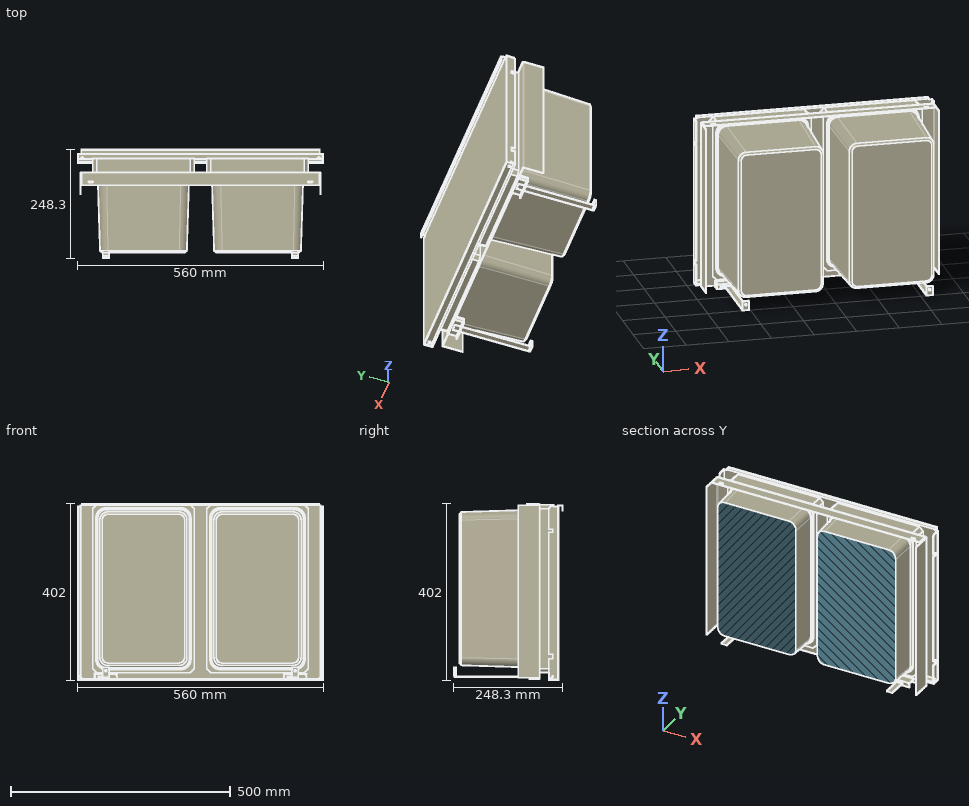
import math

import cadquery as cq

OVERALL_WIDTH = 560.0
OVERALL_DEPTH = 248.3
OVERALL_HEIGHT = 402.0
SHEET = 1.5
LID_SHEET = 2.0
BIN_PITCH = 260.0
BIN_CENTRE_Z = 209.0

FRAME_WIDTH = 548.0
FRAME_BACK_Y = 196.0
FRAME_BOTTOM_Z = 4.0
SIDE_FLANGE_DEPTH = 50.0
SIDE_BEND = 2.4
TOP_BEND = 3.0
SIDE_FLANGE_INSET = 2.5
TOP_FLANGE_DEPTH = 30.0
TOP_FLANGE_WIDTH = FRAME_WIDTH - 2 * TOP_BEND
OPENING_WIDTH = 217.0
OPENING_HEIGHT = 369.0
OPENING_CORNER = 24.0
FRAME_SLOT_X = 250.0
FRAME_SLOT_Y = 174.0
FRAME_SLOT_LENGTH = 10.0
FRAME_SLOT_WIDTH = 2.5

RIM_WIDTH = 232.0
RIM_HEIGHT = 383.0
RIM_CORNER = 9.5
RIM_BACK_Y = 227.5
BODY_WIDTH = 209.5
BODY_HEIGHT = 361.0
BODY_CORNER = 20.0
BODY_FLOOR_Y = 12.5
BODY_SIDE_INSET = 5.5
FLOOR_CORNER = 18.0
FLOOR_BEVEL_DEPTH = 4.2
FLOOR_BEVEL_INSET = 5.5
FLOOR_BEVEL_CORNER = 13.0
COLLAR_GAP = 2.0
COLLAR_FRONT_Y = 188.0

LID_BACK_Y = 238.3
LID_FRONT_Y = 216.5
LID_TOP_Z = 399.5
HOOK_WIDTH = 544.0
HOOK_DROP = 13.5
HOOK_BEND = 1.0
LID_SIDE_HEIGHT = 396.5
LID_SIDE_CORNER = 4.0
LIP_BACK_Y = 225.0
LIP_TOP_Z = 10.0
LIP_RUN = LIP_BACK_Y - LID_FRONT_Y
LIP_LENGTH = math.hypot(LIP_RUN, LIP_TOP_Z)
LIP_FOOT = LID_SHEET * LIP_LENGTH / LIP_TOP_Z
NOTCH_DEPTH = 9.0
NOTCHES = ((341.0, 6.5), (54.5, 11.0))
DRAIN_X = 269.5
DRAIN_Y = 227.5
DRAIN_DIAMETER = 5.0

BRACKET_PITCH = 431.5
BRACKET_WIDTH = 52.0
BRACKET_FRONT_Y = 171.5
BRACKET_BOTTOM_Z = 3.0
BRACKET_TOP_Z = 15.0
BRACKET_CORNER = 9.0
BRACKET_SLOT_REACH = 17.5
BRACKET_TAB_RISE = 1.0

ARM_WIDTH = 15.0
ARM_BOTTOM_Z = 7.5
ARM_THICKNESS = 2.0
ARM_BACK_Y = 188.0
BLOCK_DEPTH = 5.0
BLOCK_TOP_Z = 30.0
BLOCK_BEND = 3.0
BLOCK_HOLE_DIAMETER = 4.0
BLOCK_HOLE_Z = 22.0

FRAME_FRONT_Y = FRAME_BACK_Y - SHEET


def box(x0, x1, y0, y1, z0, z1):
    """Box between two opposite corners."""
    return cq.Workplane("XY").box(x1 - x0, y1 - y0, z1 - z0, centered=False).translate((x0, y0, z0))


def mirrored(shape):
    """A shape together with its mirror image across X = 0."""
    return shape.union(shape.mirror("YZ"))


def facing_front(x, y, z):
    """Workplane at a point, with its normal toward -Y, local x along +X and local y along +Z."""
    return cq.Workplane("XZ", origin=(x, y, z))


def rounded_rectangle(width, height, corner, inset=0.0):
    """Sketch of a rounded rectangle, its outline and corners moved inward by the inset."""
    outline = cq.Sketch().rect(width - 2 * inset, height - 2 * inset)
    return outline.vertices().fillet(corner - inset).reset()


def lifted(sketch, distance):
    """Sketch moved along its own normal."""
    return sketch.moved(cq.Location(cq.Vector(0, 0, distance)))


def frame_sheet():
    """Plate with its side and top flanges, bends rounded, before any openings."""
    half = FRAME_WIDTH / 2
    front = FRAME_BACK_Y - SIDE_FLANGE_DEPTH
    low = FRAME_BOTTOM_Z + SHEET
    high = OVERALL_HEIGHT - SIDE_FLANGE_INSET
    channel = box(-half, half, front, FRAME_BACK_Y, low, high)
    channel = channel.edges("|Z and >Y").fillet(SIDE_BEND)
    inside = box(-half + SHEET, half - SHEET, front, FRAME_FRONT_Y, low, high)
    inside = inside.edges("|Z and >Y").fillet(SIDE_BEND - SHEET)
    channel = channel.cut(inside)

    half_top = TOP_FLANGE_WIDTH / 2
    top_front = FRAME_BACK_Y - TOP_FLANGE_DEPTH
    angle = box(-half_top, half_top, top_front, FRAME_BACK_Y, FRAME_BOTTOM_Z, OVERALL_HEIGHT)
    angle = angle.edges("|X and >Y and >Z").fillet(TOP_BEND)
    under = box(-half_top, half_top, top_front, FRAME_FRONT_Y, FRAME_BOTTOM_Z, OVERALL_HEIGHT - SHEET)
    under = under.edges("|X and >Y and >Z").fillet(TOP_BEND - SHEET)
    return channel.union(angle.cut(under))


def make_frame():
    frame = frame_sheet()
    for x in (-BIN_PITCH / 2, BIN_PITCH / 2):
        opening = (
            facing_front(x, FRAME_BACK_Y, BIN_CENTRE_Z)
            .placeSketch(rounded_rectangle(OPENING_WIDTH, OPENING_HEIGHT, OPENING_CORNER))
            .extrude(SHEET)
        )
        frame = frame.cut(opening)
    slots = (
        cq.Workplane("XY", origin=(0, FRAME_SLOT_Y, OVERALL_HEIGHT - SHEET))
        .pushPoints([(-FRAME_SLOT_X, 0), (FRAME_SLOT_X, 0)])
        .slot2D(FRAME_SLOT_LENGTH, FRAME_SLOT_WIDTH)
        .extrude(SHEET)
    )
    return frame.cut(slots)


def make_bin(x):
    rim = (
        facing_front(x, RIM_BACK_Y, BIN_CENTRE_Z)
        .rect(RIM_WIDTH, RIM_HEIGHT)
        .extrude(RIM_BACK_Y - FRAME_BACK_Y)
        .edges("|Y")
        .chamfer(RIM_CORNER)
    )
    collar = rounded_rectangle(OPENING_WIDTH, OPENING_HEIGHT, OPENING_CORNER, COLLAR_GAP)
    collar_base = facing_front(x, FRAME_BACK_Y, BIN_CENTRE_Z)
    rim = rim.union(collar_base.placeSketch(collar).extrude(FRAME_BACK_Y - COLLAR_FRONT_Y))
    floor_inset = BODY_SIDE_INSET + FLOOR_BEVEL_INSET
    mouth = rounded_rectangle(BODY_WIDTH, BODY_HEIGHT, BODY_CORNER)
    bevel_edge = rounded_rectangle(BODY_WIDTH, BODY_HEIGHT, FLOOR_CORNER + BODY_SIDE_INSET, BODY_SIDE_INSET)
    floor = rounded_rectangle(BODY_WIDTH, BODY_HEIGHT, FLOOR_BEVEL_CORNER + floor_inset, floor_inset)
    body_length = FRAME_BACK_Y - BODY_FLOOR_Y
    wall_length = body_length - FLOOR_BEVEL_DEPTH
    body = (
        facing_front(x, FRAME_BACK_Y, BIN_CENTRE_Z)
        .placeSketch(mouth, lifted(bevel_edge, wall_length), lifted(floor, body_length))
        .loft(ruled=True)
    )
    return rim.union(body)


def lid_side():
    """Left side flange of the lid, notched twice along its front edge."""
    left = -OVERALL_WIDTH / 2
    right = left + LID_SHEET
    side = box(left, right, LID_FRONT_Y, LID_BACK_Y, 0, LID_SIDE_HEIGHT)
    side = side.edges("|X and <Y and >Z").chamfer(LID_SIDE_CORNER)
    for z, height in NOTCHES:
        notch = box(left, right, LID_FRONT_Y, LID_FRONT_Y + NOTCH_DEPTH, z - height / 2, z + height / 2)
        side = side.cut(notch)
    return side


def lid_lip():
    """Sloped strip rising backward from the front edge of the bottom flange."""
    step_y = LID_SHEET * LIP_TOP_Z / LIP_LENGTH
    step_z = LID_SHEET * LIP_RUN / LIP_LENGTH
    return (
        cq.Workplane("YZ", origin=(-OVERALL_WIDTH / 2, 0, 0))
        .polyline([
            (LID_FRONT_Y, 0),
            (LIP_BACK_Y, LIP_TOP_Z),
            (LIP_BACK_Y + step_y, LIP_TOP_Z - step_z),
            (LID_FRONT_Y + LIP_FOOT, 0),
        ])
        .close()
        .extrude(OVERALL_WIDTH)
    )


def make_lid():
    half = OVERALL_WIDTH / 2
    half_hook = HOOK_WIDTH / 2
    plate = box(-half, half, LID_BACK_Y - LID_SHEET, LID_BACK_Y, 0, LID_SIDE_HEIGHT)
    floor = box(-half, half, LID_FRONT_Y + LIP_FOOT, LID_BACK_Y, 0, LID_SHEET)
    hook = box(
        -half_hook, half_hook, LID_BACK_Y - LID_SHEET, OVERALL_DEPTH, LID_TOP_Z - HOOK_DROP, LID_TOP_Z
    ).edges("|X and >Z").fillet(HOOK_BEND)
    hollow = box(
        -half_hook,
        half_hook,
        LID_BACK_Y,
        OVERALL_DEPTH - LID_SHEET,
        LID_TOP_Z - HOOK_DROP,
        LID_TOP_Z - LID_SHEET,
    )
    drains = (
        cq.Workplane("XY", origin=(0, DRAIN_Y, 0))
        .pushPoints([(-DRAIN_X, 0), (DRAIN_X, 0)])
        .circle(DRAIN_DIAMETER / 2)
        .extrude(LID_SHEET)
    )
    lid = plate.union(floor.cut(drains)).union(hook.cut(hollow))
    return lid.union(lid_lip()).union(mirrored(lid_side()))


def make_bracket(x):
    left = x - BRACKET_WIDTH / 2
    right = x + BRACKET_WIDTH / 2
    front = BRACKET_FRONT_Y
    apron = box(left, right, front, front + SHEET, BRACKET_BOTTOM_Z, BRACKET_TOP_Z)
    apron = apron.edges("|Y and >X and >Z").fillet(BRACKET_CORNER)
    shelf = box(left, right, front, FRAME_FRONT_Y, BRACKET_TOP_Z - SHEET, BRACKET_TOP_Z)
    end = box(left, left + SHEET, front, FRAME_FRONT_Y, BRACKET_BOTTOM_Z, BRACKET_TOP_Z + BRACKET_TAB_RISE)
    half_arm = ARM_WIDTH / 2
    arm_slot = box(
        x - BRACKET_SLOT_REACH,
        x + half_arm,
        front,
        front + SHEET,
        ARM_BOTTOM_Z,
        ARM_BOTTOM_Z + ARM_THICKNESS,
    )
    return apron.cut(arm_slot).union(shelf).union(end)


def make_arm(x):
    left = x - ARM_WIDTH / 2
    right = x + ARM_WIDTH / 2
    strip = box(left, right, 0, ARM_BACK_Y, ARM_BOTTOM_Z, ARM_BOTTOM_Z + ARM_THICKNESS)
    block = box(left, right, 0, BLOCK_DEPTH, ARM_BOTTOM_Z, BLOCK_TOP_Z)
    hole = facing_front(x, BLOCK_DEPTH, BLOCK_HOLE_Z).circle(BLOCK_HOLE_DIAMETER / 2).extrude(BLOCK_DEPTH)
    arm = strip.union(block).edges("|X and <Y and <Z").fillet(BLOCK_BEND)
    return arm.cut(hole)


frame = make_frame()
lid = make_lid()
bins = [make_bin(x) for x in (-BIN_PITCH / 2, BIN_PITCH / 2)]
brackets = [make_bracket(x) for x in (-BRACKET_PITCH / 2, BRACKET_PITCH / 2)]
arms = [make_arm(x) for x in (-BRACKET_PITCH / 2, BRACKET_PITCH / 2)]

bodies = [frame, lid, *bins, *brackets, *arms]
result = cq.Compound.makeCompound([body.val() for body in bodies])